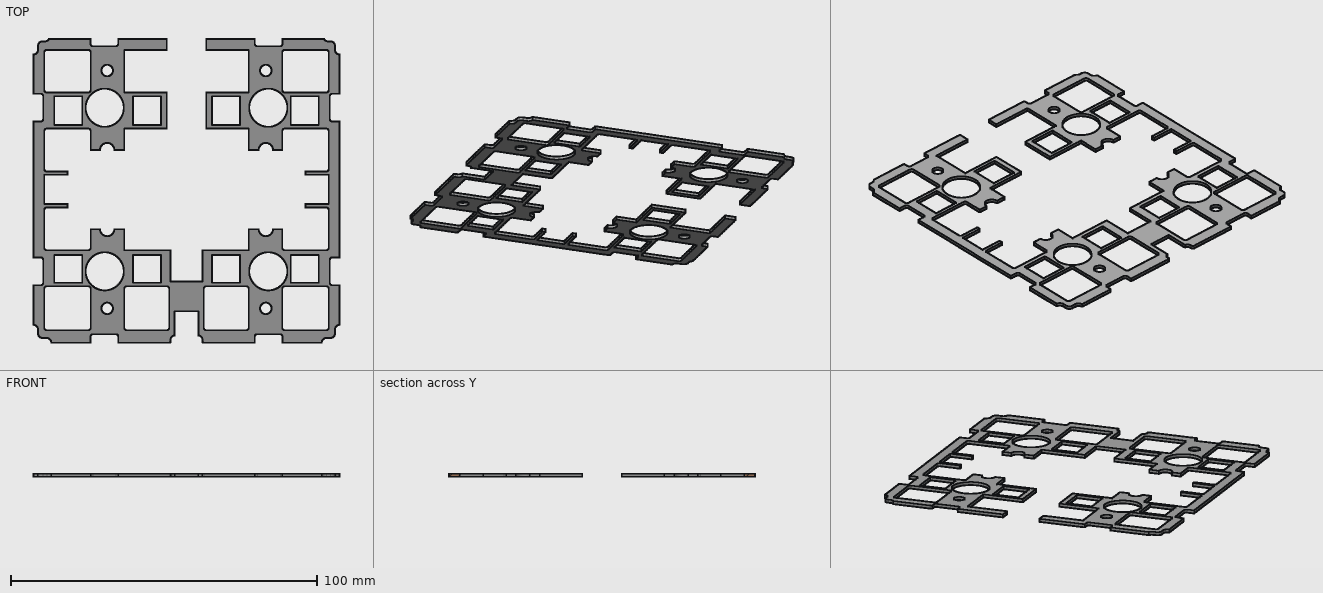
import cadquery as cq
import math

width = 100.0
height = 99.25
thickness = 1.11
left = -width / 2
top = height / 2
bottom = -height / 2

rail_x = -46.4
spine_left = -31.3
spine_right = -20.27
upper_arm_end = -6.4
lower_arm_end = -5.15
lower_window_end = -5.65
finger_tip = -38.8
side_notch_floor = -46.8
edge_notch_right = -22.3
slot_side = -3.9

top_notch_floor = 47.2
top_rail_y = 45.95
upper_arm_top = 32.1
upper_arm_bottom = 20.25
upper_spine_end = 13.3
upper_finger = (5.15, 6.35)
lower_finger = (-5.5, -4.3)
lower_spine_end = -12.5
lower_arm_top = -19.4
bridge_top = -29.55
lower_arm_bottom = -31.2
bridge_bottom = -39.4
bottom_rail_y = -45.5
bottom_notch_floor = -46.85

window_columns = (-43.1, -17.4)
window_width = 9.0
upper_window = (21.5, 30.85)
lower_window = (-30.0, -21.0)
upper_side_notch = (22.65, 31.65)
lower_side_notch = (-30.8, -21.8)
large_hole_diameter = 12.4
large_hole_x = -26.7
large_hole_levels = (27.1, -26.3)
small_hole_diameter = 3.7
small_hole_x = -25.9
small_hole_levels = (39.25, -38.4)
spine_scallop_diameter = 4.6

pocket_radius = 0.75
corner_radius = 1.5
corner_fillet = 1.5
corner_side_x = left + corner_fillet
top_corner_y = 48.8
bottom_corner_y = -48.1
top_corner_start = (-44.73, 44.5)
bottom_corner_start = (-44.15, -43.8)
foot_relief_y = -47.3
foot_relief_radius = slot_side - lower_arm_end
foot_tip_radius = 0.4

overrun = 1.0


def block(x_range, y_range, radius=0.0):
    """Full-thickness block, with its upright edges rounded if a radius is given."""
    x0, x1 = x_range
    y0, y1 = y_range
    body = cq.Workplane("XY").box(x1 - x0, y1 - y0, thickness, centered=False)
    if radius:
        body = body.edges("|Z").fillet(radius)
    return body.translate((x0, y0, 0))


def disc(x, y, diameter):
    return cq.Workplane("XY").center(x, y).circle(diameter / 2).extrude(thickness)


def corner_cut(start, corner_y, edge_y):
    """Cutter leaving a stepped corner: concave fillet, rounded tip, concave fillet."""
    start_x, start_y = start
    up = math.copysign(1, edge_y)
    diagonal = math.sqrt(0.5)
    tip_bend = corner_radius * (1 - diagonal)
    fillet_bend = corner_fillet * diagonal
    outer_y = edge_y + up * overrun
    outer_x = left - overrun
    step_x = start_x - corner_fillet
    step_y = start_y + up * corner_fillet
    return (
        cq.Workplane("XY")
        .moveTo(outer_x, start_y)
        .lineTo(left, start_y)
        .threePointArc((left + fillet_bend, step_y - up * fillet_bend), (corner_side_x, step_y))
        .lineTo(corner_side_x, corner_y - up * corner_radius)
        .threePointArc(
            (corner_side_x + tip_bend, corner_y - up * tip_bend),
            (corner_side_x + corner_radius, corner_y),
        )
        .lineTo(step_x, corner_y)
        .threePointArc(
            (step_x + fillet_bend, corner_y + up * (corner_fillet - fillet_bend)),
            (start_x, corner_y + up * corner_fillet),
        )
        .lineTo(start_x, outer_y)
        .lineTo(outer_x, outer_y)
        .close()
        .extrude(thickness)
    )


def pockets():
    """Large windows and the bays that open into the middle of the plate."""
    beside = (rail_x, spine_left)
    return [
        block(beside, (upper_arm_top, top_rail_y), pocket_radius),
        block((spine_right, overrun), (upper_arm_top, top_rail_y)),
        block((upper_arm_end, overrun), (lower_arm_top, top + overrun)),
        block(beside, (upper_finger[1], upper_arm_bottom), pocket_radius),
        block(beside, (lower_arm_top, lower_finger[0]), pocket_radius),
        block((rail_x, overrun), (lower_finger[1], upper_finger[0])),
        block((finger_tip, overrun), (lower_spine_end, upper_spine_end)),
        block((spine_right, overrun), (lower_arm_top, upper_arm_bottom)),
        block((lower_arm_end, overrun), (bridge_top, lower_arm_top)),
        block(beside, (bottom_rail_y, lower_arm_bottom), pocket_radius),
        block((spine_right, lower_window_end), (bottom_rail_y, lower_arm_bottom), pocket_radius),
        block((slot_side, overrun), (bottom - overrun, bridge_bottom)),
    ]


def notches():
    """Shallow recesses in the outer edges, and the relief beside the bottom slot."""
    edge_notch = (spine_left, edge_notch_right)
    side_notch = (left - overrun, side_notch_floor)
    foot_relief = (bottom - overrun - foot_relief_radius, foot_relief_y)
    return [
        block(edge_notch, (top_notch_floor, top + overrun), pocket_radius),
        block(edge_notch, (bottom - overrun, bottom_notch_floor), pocket_radius),
        block(side_notch, upper_side_notch, pocket_radius),
        block(side_notch, lower_side_notch, pocket_radius),
        block((lower_arm_end, overrun), foot_relief, foot_relief_radius),
    ]


def small_windows():
    return [
        block((x, x + window_width), y_range)
        for x in window_columns
        for y_range in (upper_window, lower_window)
    ]


def round_holes():
    """Round holes in the spines, and the scallops in the spine ends."""
    holes = [disc(large_hole_x, y, large_hole_diameter) for y in large_hole_levels]
    holes += [disc(small_hole_x, y, small_hole_diameter) for y in small_hole_levels]
    holes += [disc(small_hole_x, y, spine_scallop_diameter) for y in (upper_spine_end, lower_spine_end)]
    return holes


def corners():
    return [
        corner_cut(top_corner_start, top_corner_y, top),
        corner_cut(bottom_corner_start, bottom_corner_y, bottom),
    ]


half_plate = block((left, 0), (bottom, top))
for cutter in pockets() + notches() + small_windows() + round_holes() + corners():
    half_plate = half_plate.cut(cutter)

foot_tip = cq.selectors.NearestToPointSelector((lower_arm_end, bottom, thickness / 2))
half_plate = half_plate.edges(foot_tip).fillet(foot_tip_radius)

result = half_plate.union(half_plate.mirror("YZ"))